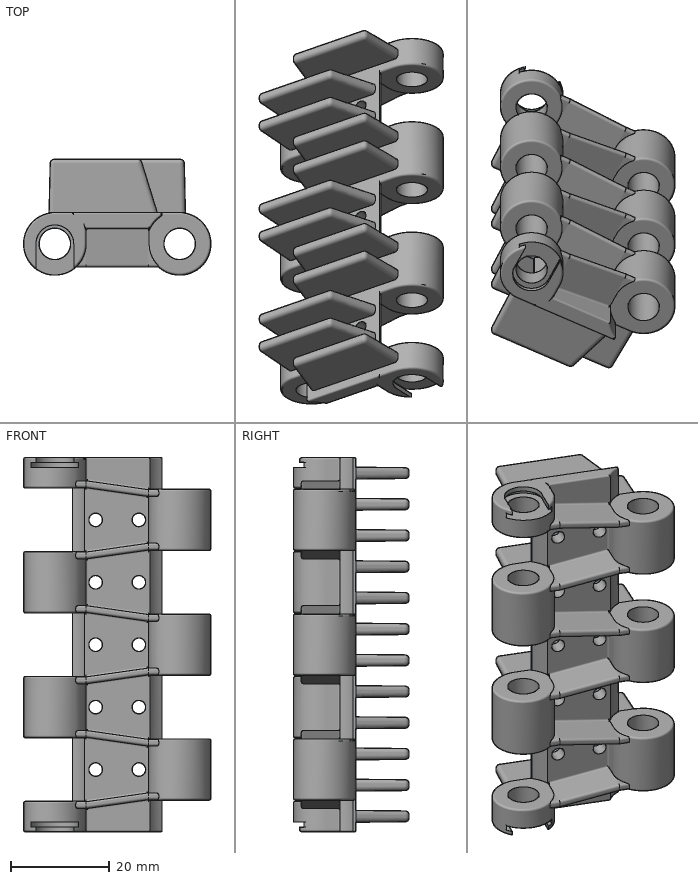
import math
import cadquery as cq

HINGE_PITCH = 25.4
AXIS_X = HINGE_PITCH / 2
BARREL_RADIUS = 6.375
BORE_RADIUS = 3.175
BARREL_PITCH = 12.7
BARREL_COUNT = 7
LENGTH = (BARREL_COUNT - 1) * BARREL_PITCH
HALF_LENGTH = LENGTH / 2
BARREL_GAP = 0.2
EDGE_RADIUS = 0.45
TOLERANCE = 0.01

SPINE_HALF_WIDTH = 9.15
SPINE_FRONT_Y = 3.1
SPINE_EDGE_RADIUS = 0.35
SPINE_BACK_Y = BARREL_RADIUS
CLEARANCE_RADIUS = 6.8
WALL_X = AXIS_X - BARREL_RADIUS

HOLE_DIAMETER = 2.7
HOLE_X = 4.4

RIB_TIP_Y = -4.75
RIB_THICKNESS = 1.4
RIB_RISE = 0.9
RIB_TIP_RADIUS = 0.5
ROOT_RADIUS = 0.35

FLIGHT_TIP_Y = 17.225
FLIGHT_ROOT_THICKNESS = 2.45
FLIGHT_TIP_THICKNESS = 2.25
FLIGHT_ROOT_X = 13.9
FLIGHT_TIP_X = 13.65
FLIGHT_INNER_ROOT_X = 8.15
FLIGHT_INNER_TIP_X = 4.8
FLIGHT_EDGE_RADIUS = 0.9
FLIGHT_OFFSET = BARREL_PITCH / 4

SLOT_MOUTH_HALF_WIDTH = 3.85
SLOT_HALF_WIDTH = 4.8
SLOT_MOUTH_DEPTH = 1.0
SLOT_DEPTH = 2.0


def barrel_side(index):
    """Even places have their barrel on the -X side, odd ones on the +X side."""
    return -1 if index % 2 == 0 else 1


def barrel_center_z(index):
    return -HALF_LENGTH + index * BARREL_PITCH


def join(body, parts):
    """Fuse all the parts to the body in a single operation."""
    return body.union(cq.Workplane("XY").newObject([part.val() for part in parts]))


def make_spine():
    arc_end_x = AXIS_X - math.sqrt(CLEARANCE_RADIUS**2 - SPINE_FRONT_Y**2)
    arc_start_y = math.sqrt(CLEARANCE_RADIUS**2 - (AXIS_X - SPINE_HALF_WIDTH) ** 2)
    mid_angle = (math.asin(SPINE_FRONT_Y / CLEARANCE_RADIUS)
                 + math.asin(arc_start_y / CLEARANCE_RADIUS)) / 2
    arc_mid_x = AXIS_X - CLEARANCE_RADIUS * math.cos(mid_angle)
    arc_mid_y = CLEARANCE_RADIUS * math.sin(mid_angle)
    return (
        cq.Workplane("XY", origin=(0, 0, -HALF_LENGTH))
        .moveTo(-SPINE_HALF_WIDTH, SPINE_BACK_Y)
        .lineTo(SPINE_HALF_WIDTH, SPINE_BACK_Y)
        .lineTo(SPINE_HALF_WIDTH, arc_start_y)
        .threePointArc((arc_mid_x, arc_mid_y), (arc_end_x, SPINE_FRONT_Y))
        .lineTo(-arc_end_x, SPINE_FRONT_Y)
        .threePointArc((-arc_mid_x, arc_mid_y), (-SPINE_HALF_WIDTH, arc_start_y))
        .close()
        .extrude(LENGTH)
        .faces("<Z or >Z")
        .edges()
        .fillet(SPINE_EDGE_RADIUS)
    )


def make_barrel(index):
    """Round barrel whose centre-facing side runs flat into the spine."""
    side = barrel_side(index)
    half_height = (BARREL_PITCH - BARREL_GAP) / 2
    bottom = max(barrel_center_z(index) - half_height, -HALF_LENGTH)
    top = min(barrel_center_z(index) + half_height, HALF_LENGTH)
    axis_x = side * AXIS_X
    wall_x = side * WALL_X
    outer_x = side * (AXIS_X + BARREL_RADIUS)
    diagonal = BARREL_RADIUS * math.sqrt(0.5)
    return (
        cq.Workplane("XY", origin=(0, 0, bottom))
        .moveTo(wall_x, SPINE_BACK_Y)
        .lineTo(axis_x, SPINE_BACK_Y)
        .threePointArc((axis_x + side * diagonal, diagonal), (outer_x, 0))
        .threePointArc((axis_x, -BARREL_RADIUS), (wall_x, 0))
        .close()
        .extrude(top - bottom)
        .faces("<Z or >Z")
        .edges()
        .fillet(EDGE_RADIUS)
    )


def make_rib_end(side, center_z):
    """Level end of a rib, running from the barrel wall into the barrel but clear of its bore."""
    block = (
        cq.Workplane("XY")
        .box(BARREL_RADIUS, SPINE_FRONT_Y - RIB_TIP_Y, RIB_THICKNESS)
        .translate((side * (WALL_X + BARREL_RADIUS / 2), (SPINE_FRONT_Y + RIB_TIP_Y) / 2, center_z))
        .edges("<Y and |X")
        .fillet(RIB_TIP_RADIUS)
    )
    barrel_core = (
        cq.Workplane("XY", origin=(side * AXIS_X, 0, center_z - RIB_THICKNESS))
        .circle(BARREL_RADIUS - EDGE_RADIUS)
        .extrude(2 * RIB_THICKNESS)
    )
    return block.cut(barrel_core)


def make_rib(index):
    """Rib from the barrel at this place to the next one, slanted between their walls."""
    side = barrel_side(index)
    center_z = barrel_center_z(index) + BARREL_PITCH / 2
    half = RIB_THICKNESS / 2
    slant = (
        cq.Workplane("XZ", origin=(0, SPINE_FRONT_Y, center_z))
        .polyline([
            (side * WALL_X, -RIB_RISE - half),
            (-side * WALL_X, RIB_RISE - half),
            (-side * WALL_X, RIB_RISE + half),
            (side * WALL_X, -RIB_RISE + half),
        ])
        .close()
        .extrude(SPINE_FRONT_Y - RIB_TIP_Y)
    )
    slant = slant.faces("<Y").edges("not |Z").fillet(RIB_TIP_RADIUS)

    footing_depth = (SPINE_BACK_Y - SPINE_FRONT_Y) / 2
    footing = (
        cq.Workplane("XY")
        .box(2 * WALL_X, footing_depth, 2 * (RIB_RISE + RIB_THICKNESS))
        .translate((0, SPINE_FRONT_Y + footing_depth / 2, center_z))
    )
    root_edges = cq.selectors.BoxSelector(
        (-TOLERANCE, SPINE_FRONT_Y - TOLERANCE, center_z - RIB_THICKNESS),
        (TOLERANCE, SPINE_FRONT_Y + TOLERANCE, center_z + RIB_THICKNESS),
    )
    rib = slant.union(footing).edges(root_edges).fillet(ROOT_RADIUS)
    rib = rib.union(make_rib_end(side, center_z - RIB_RISE))
    return rib.union(make_rib_end(-side, center_z + RIB_RISE))


def make_flight(side, center_z):
    """Drafted paddle on the back, square at its own barrel side and slanted at the other end."""
    height = FLIGHT_TIP_Y - SPINE_BACK_Y
    root_center_x = side * (FLIGHT_ROOT_X - FLIGHT_INNER_ROOT_X) / 2
    tip_center_x = side * (FLIGHT_TIP_X - FLIGHT_INNER_TIP_X) / 2
    return (
        cq.Workplane("XZ", origin=(root_center_x, SPINE_BACK_Y, center_z))
        .rect(FLIGHT_ROOT_X + FLIGHT_INNER_ROOT_X, FLIGHT_ROOT_THICKNESS)
        .workplane(offset=-height)
        .center(tip_center_x - root_center_x, 0)
        .rect(FLIGHT_TIP_X + FLIGHT_INNER_TIP_X, FLIGHT_TIP_THICKNESS)
        .loft(combine=True)
        .edges("not <Y")
        .fillet(FLIGHT_EDGE_RADIUS)
    )


def make_end_slot(end):
    """T-slot cutter for the end barrel at the top (end = 1) or the bottom (end = -1)."""
    def layer(half_width, outer_depth, inner_depth):
        outer_z = end * (HALF_LENGTH - outer_depth)
        layer_height = -end * (inner_depth - outer_depth)
        return (
            cq.Workplane("XY", origin=(-AXIS_X, 0, outer_z))
            .moveTo(-half_width, -BARREL_RADIUS)
            .lineTo(-half_width, 0)
            .threePointArc((0, half_width), (half_width, 0))
            .lineTo(half_width, -BARREL_RADIUS)
            .close()
            .extrude(layer_height)
        )

    mouth = layer(SLOT_MOUTH_HALF_WIDTH, 0, SLOT_MOUTH_DEPTH)
    undercut = layer(SLOT_HALF_WIDTH, SLOT_MOUTH_DEPTH, SLOT_DEPTH)
    return mouth.union(undercut)


def make_backbone():
    """Spine with all its barrels, the flat barrel walls blended into the spine's front face."""
    backbone = join(make_spine(), [make_barrel(index) for index in range(BARREL_COUNT)])
    wall_roots = cq.selectors.BoxSelector(
        (-WALL_X - TOLERANCE, SPINE_FRONT_Y - TOLERANCE, -HALF_LENGTH),
        (WALL_X + TOLERANCE, SPINE_FRONT_Y + TOLERANCE, HALF_LENGTH),
    )
    return backbone.edges("|Z").edges(wall_roots).fillet(ROOT_RADIUS)


def make_bores():
    return (
        cq.Workplane("XY", origin=(0, 0, -HALF_LENGTH))
        .pushPoints([(-AXIS_X, 0), (AXIS_X, 0)])
        .circle(BORE_RADIUS)
        .extrude(LENGTH)
    )


def make_drain_holes():
    centers = [
        (x, barrel_center_z(index))
        for x in (-HOLE_X, HOLE_X)
        for index in range(1, BARREL_COUNT - 1)
    ]
    return (
        cq.Workplane("XZ", origin=(0, SPINE_BACK_Y, 0))
        .pushPoints(centers)
        .circle(HOLE_DIAMETER / 2)
        .extrude(SPINE_BACK_Y - SPINE_FRONT_Y)
    )


ribs = [make_rib(index) for index in range(BARREL_COUNT - 1)]

flights = []
for place in range(BARREL_COUNT):
    for offset in (-FLIGHT_OFFSET, FLIGHT_OFFSET):
        flight_z = barrel_center_z(place) + offset
        if abs(flight_z) < HALF_LENGTH:
            flights.append(make_flight(barrel_side(place), flight_z))

result = join(make_backbone(), ribs + flights)
result = result.cut(make_bores()).cut(make_drain_holes())
for end in (-1, 1):
    result = result.cut(make_end_slot(end))